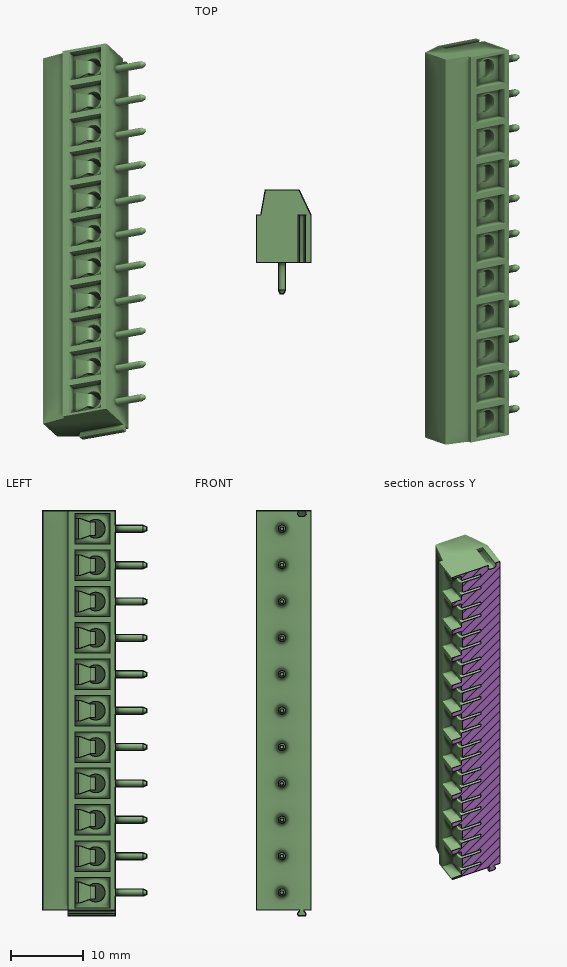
import cadquery as cq

pole_count = 11
pole_pitch = 5.0
bottom_margin = 2.4
top_margin = 2.48

body_width = 7.5
body_depth = 10.0
body_height = (pole_count - 1) * pole_pitch + bottom_margin + top_margin
shoulder_y = 6.54
ledge_width = 0.58
top_inset_left = 1.2
top_inset_right = 1.65

joint_x = 6.23
joint_height = 0.8
joint_neck_height = 0.15
joint_widest_height = 0.5
rail_half_widths = (0.33, 0.61, 0.48)
groove_half_widths = (0.52, 0.62, 0.33)

pocket_y_min = 0.78
pocket_y_max = 5.55
pocket_height = 4.18
pocket_depth = 1.47
wire_hole_y = 2.72
wire_hole_radius = 1.28
wire_hole_depth = 3.0

guard_rise = 0.2
guard_top_bend = 0.45
guard_wide_length = 0.65
guard_wide_half = 1.43
guard_narrow_half = 0.91
guard_bend_start_y = 3.43
guard_end_y = 2.77

pin_x = 3.5
pin_radius = 0.5
pin_length = 4.3
pin_tip_length = 0.5
pin_tip_radius = 0.25

pole_heights = [bottom_margin + i * pole_pitch for i in range(pole_count)]


def make_body():
    """Constant cross-section housing, extruded along Z."""
    outline = [
        (0, 0),
        (body_width, 0),
        (body_width, shoulder_y),
        (body_width - top_inset_right, body_depth),
        (top_inset_left, body_depth),
        (ledge_width, shoulder_y),
        (0, shoulder_y),
    ]
    return cq.Workplane("XY").polyline(outline).close().extrude(body_height)


def make_joint_bar(base_z, half_widths):
    """Dovetail bar hanging below base_z, running from the pin face to the shoulder."""
    neck_half, widest_half, end_half = half_widths
    right_side = [
        (neck_half, 0),
        (neck_half, joint_neck_height),
        (widest_half, joint_widest_height),
        (end_half, joint_height),
    ]
    left_side = [(-half, drop) for half, drop in reversed(right_side)]
    outline = [(joint_x + x, base_z - drop) for x, drop in right_side + left_side]
    return cq.Workplane("XZ").polyline(outline).close().extrude(-shoulder_y)


def make_pocket(z):
    """Rectangular recess in the -X face."""
    pocket_length = pocket_y_max - pocket_y_min
    return cq.Workplane("XY").box(
        pocket_depth, pocket_length, pocket_height, centered=(False, False, True)
    ).translate((0, pocket_y_min, z))


def make_wire_hole(z):
    """Blind round hole in the pocket floor."""
    return (
        cq.Workplane("YZ", origin=(pocket_depth, wire_hole_y, z))
        .circle(wire_hole_radius)
        .extrude(wire_hole_depth)
    )


def make_wire_guard(z):
    """Leaf that narrows towards the wire hole, bent back at both ends."""
    front_x = pocket_depth - guard_rise
    back_x = pocket_depth + wire_hole_depth
    inner_bend = guard_bend_start_y - guard_end_y
    side_profile = (
        cq.Workplane("XY")
        .moveTo(back_x, pocket_y_max)
        .lineTo(pocket_depth, pocket_y_max)
        .lineTo(front_x, pocket_y_max - guard_top_bend)
        .lineTo(front_x, guard_bend_start_y)
        .radiusArc((front_x + inner_bend, guard_end_y), -inner_bend)
        .lineTo(back_x, guard_end_y)
        .close()
        .extrude(2 * guard_wide_half)
        .translate((0, 0, z - guard_wide_half))
    )
    taper_start_y = pocket_y_max - guard_wide_length
    front_outline = [
        (pocket_y_max, z - guard_wide_half),
        (taper_start_y, z - guard_wide_half),
        (guard_bend_start_y, z - guard_narrow_half),
        (guard_end_y, z - guard_narrow_half),
        (guard_end_y, z + guard_narrow_half),
        (guard_bend_start_y, z + guard_narrow_half),
        (taper_start_y, z + guard_wide_half),
        (pocket_y_max, z + guard_wide_half),
    ]
    leaf = cq.Workplane("YZ").polyline(front_outline).close().extrude(back_x)
    return leaf.intersect(side_profile)


def make_pin(z):
    """Round pin with a conical tip, pointing to -Y."""
    shank_end_y = pin_tip_length - pin_length
    half_profile = [
        (pin_x, 0),
        (pin_x - pin_radius, 0),
        (pin_x - pin_radius, shank_end_y),
        (pin_x - pin_tip_radius, -pin_length),
        (pin_x, -pin_length),
    ]
    return (
        cq.Workplane("XY", origin=(0, 0, z))
        .polyline(half_profile)
        .close()
        .revolve(360, (pin_x, 0), (pin_x, 1))
    )


result = make_body()
result = result.cut(make_joint_bar(body_height, groove_half_widths))
result = result.union(make_joint_bar(0, rail_half_widths))
for pole_z in pole_heights:
    result = result.cut(make_pocket(pole_z)).cut(make_wire_hole(pole_z))
    result = result.union(make_wire_guard(pole_z)).union(make_pin(pole_z))